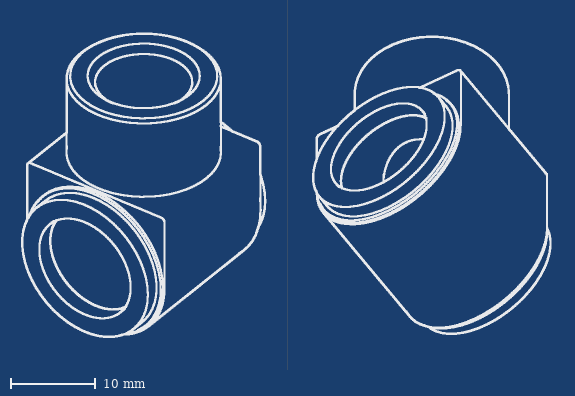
import cadquery as cq

total_height = 31.0
total_length = 23.6
body_width = 20.0
body_length = 19.22
body_radius = body_width / 2
body_top = body_radius
branch_top = total_height - body_radius
edge_round = 0.53

branch_diameter = 18.2
branch_chamfer = 0.43
branch_bore = 11.45
branch_mouth = 13.2
mouth_depth = (branch_mouth - branch_bore) / 2

bore_diameter = 13.2
bulge_diameter = 13.4
bulge_length = 11.78

ring_diameter = 18.3
ring_bore = 13.3
flange_diameter = 19.5
flange_thickness = 0.43
ring_length = (total_length - body_length) / 2


def make_through_bore():
    """Cutter along Y: straight ends joined by a shallow bulge with an arc profile."""
    end_radius = bore_diameter / 2
    half_length = body_length / 2
    half_bulge = bulge_length / 2
    return (
        cq.Workplane("XY")
        .moveTo(0, -half_length)
        .lineTo(end_radius, -half_length)
        .lineTo(end_radius, -half_bulge)
        .threePointArc((bulge_diameter / 2, 0), (end_radius, half_bulge))
        .lineTo(end_radius, half_length)
        .lineTo(0, half_length)
        .close()
        .revolve(360, (0, 0, 0), (0, 1, 0))
    )


def make_branch_bore():
    """Cutter along Z: branch bore with a conical mouth."""
    return (
        cq.Workplane("XZ")
        .lineTo(branch_bore / 2, 0)
        .lineTo(branch_bore / 2, branch_top - mouth_depth)
        .lineTo(branch_mouth / 2, branch_top)
        .lineTo(0, branch_top)
        .close()
        .revolve(360, (0, 0, 0), (0, 1, 0))
    )


def make_housing():
    """Round-bottomed block with an upright branch and two crossing bores."""
    block = (
        cq.Workplane("XZ")
        .moveTo(-body_radius, 0)
        .threePointArc((0, -body_radius), (body_radius, 0))
        .lineTo(body_radius, body_top)
        .lineTo(-body_radius, body_top)
        .close()
        .extrude(body_length / 2, both=True)
        .edges("|Y and >Z")
        .fillet(edge_round)
    )
    branch = (
        cq.Workplane("XY")
        .circle(branch_diameter / 2)
        .extrude(branch_top)
        .faces(">Z")
        .edges()
        .chamfer(branch_chamfer)
    )
    return block.union(branch).cut(make_through_bore()).cut(make_branch_bore())


def make_end_ring(side):
    """Flanged ring against one end of the housing; side is -1 or 1 along Y."""
    seat = cq.Workplane("XZ", origin=(0, side * body_length / 2, 0))
    flange = seat.circle(flange_diameter / 2).extrude(-side * flange_thickness)
    sleeve = seat.circle(ring_diameter / 2).extrude(-side * ring_length)
    hole = seat.circle(ring_bore / 2).extrude(-side * ring_length)
    return flange.union(sleeve).cut(hole)


housing = make_housing()
end_rings = [make_end_ring(side) for side in (-1, 1)]

result = cq.Compound.makeCompound([housing.val(), *[ring.val() for ring in end_rings]])